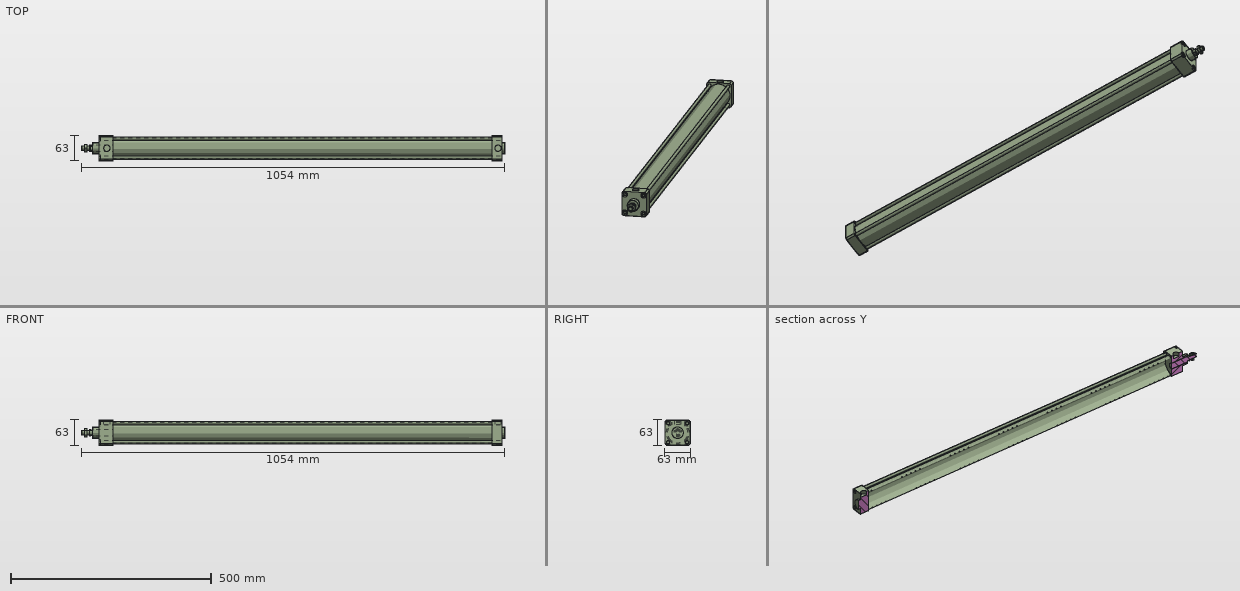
import cadquery as cq
import math

TOTAL_LENGTH = 1054.0
CAP_SIDE = 63.0
CAP_CHAMFER = 4.0
FRONT_CAP_START = 43.0
FRONT_CAP_LENGTH = 35.0
REAR_CAP_LENGTH = 25.0
BOSS_DIAMETER = 28.0
FRONT_BOSS_LENGTH = 16.0
REAR_BOSS_LENGTH = 6.0

TUBE_DIAMETER = 57.0
TUBE_BORE = 51.0

TIE_ROD_DIAMETER = 7.9
TIE_ROD_SPACING = 47.0
TIE_ROD_HEAD_DIAMETER = 14.0
TIE_ROD_HEAD_LENGTH = 4.0
SOCKET_DIAMETER = 6.7
SOCKET_DEPTH = 3.0

ROD_DIAMETER = 16.0
THREAD_DIAMETER = 12.0
THREAD_LENGTH = 20.0
THREAD_TIP_CHAMFER = 1.0
FLATS_START = 22.0
FLATS_WIDTH = 13.0

NUT_ACROSS_FLATS = 19.0
NUT_START = 7.0
NUT_THICKNESS = 6.0

PORT_DIAMETER = 16.0
PORT_DEPTH = 11.0
FRONT_PORT_OFFSET = 20.0
REAR_PORT_OFFSET = 15.0

front_cap_end = FRONT_CAP_START + FRONT_CAP_LENGTH
front_boss_start = FRONT_CAP_START - FRONT_BOSS_LENGTH
rear_cap_end = TOTAL_LENGTH - REAR_BOSS_LENGTH
rear_cap_start = rear_cap_end - REAR_CAP_LENGTH
tie_rod_reach = TIE_ROD_SPACING / 2
tie_rod_places = [
    (y, z) for y in (-tie_rod_reach, tie_rod_reach) for z in (-tie_rod_reach, tie_rod_reach)
]


def along_x(start):
    """Workplane across the cylinder axis at X = start; its local axes are Y and Z."""
    return cq.Workplane("YZ", origin=(start, 0, 0))


def round_bar(diameter, start, end, y=0, z=0):
    """Cylinder along X from start to end, centred on (y, z)."""
    return along_x(start).center(y, z).circle(diameter / 2).extrude(end - start)


def port(x):
    """Blind hole cut down from the top face of a cap."""
    top = cq.Workplane("XY", origin=(x, 0, CAP_SIDE / 2))
    return top.circle(PORT_DIAMETER / 2).extrude(-PORT_DEPTH)


def cap_block(start, end):
    """Square block with its four long edges chamfered."""
    block = along_x(start).rect(CAP_SIDE, CAP_SIDE).extrude(end - start)
    return block.edges("|X").chamfer(CAP_CHAMFER)


def tie_rod_envelope(y, z):
    """Head and shank of a tie rod without its socket; also the hole it needs in the caps."""
    head_end = FRONT_CAP_START + TIE_ROD_HEAD_LENGTH
    head = round_bar(TIE_ROD_HEAD_DIAMETER, FRONT_CAP_START, head_end, y, z)
    return head.union(round_bar(TIE_ROD_DIAMETER, head_end, rear_cap_end, y, z))


def make_tie_rod(y, z):
    socket = round_bar(SOCKET_DIAMETER, FRONT_CAP_START, FRONT_CAP_START + SOCKET_DEPTH, y, z)
    return tie_rod_envelope(y, z).cut(socket)


def cut_tie_rod_holes(cap):
    for y, z in tie_rod_places:
        cap = cap.cut(tie_rod_envelope(y, z))
    return cap


def make_piston_rod():
    """Threaded end, then a shank with two wrench flats facing up and down in front of the boss."""
    thread = round_bar(THREAD_DIAMETER, 0, THREAD_LENGTH).faces("<X").chamfer(THREAD_TIP_CHAMFER)
    shank = round_bar(ROD_DIAMETER, THREAD_LENGTH, front_cap_end)
    flats_length = front_boss_start - FLATS_START
    around_flats = along_x(FLATS_START).rect(ROD_DIAMETER, ROD_DIAMETER).extrude(flats_length)
    between_flats = along_x(FLATS_START).rect(ROD_DIAMETER, FLATS_WIDTH).extrude(flats_length)
    return thread.union(shank.cut(around_flats.cut(between_flats)))


def make_rod_nut():
    """Hexagon nut on the thread, with corners at the top and bottom."""
    corner_diameter = NUT_ACROSS_FLATS / math.cos(math.pi / 6)
    hexagon = along_x(NUT_START).transformed(rotate=(0, 0, 90)).polygon(6, corner_diameter)
    nut = hexagon.extrude(NUT_THICKNESS)
    return nut.cut(round_bar(THREAD_DIAMETER, NUT_START, NUT_START + NUT_THICKNESS))


def make_front_cap():
    cap = cap_block(FRONT_CAP_START, front_cap_end)
    cap = cap.union(round_bar(BOSS_DIAMETER, front_boss_start, FRONT_CAP_START))
    cap = cap.cut(round_bar(ROD_DIAMETER, front_boss_start, front_cap_end))
    cap = cap.cut(port(FRONT_CAP_START + FRONT_PORT_OFFSET))
    return cut_tie_rod_holes(cap)


def make_rear_cap():
    cap = cap_block(rear_cap_start, rear_cap_end)
    cap = cap.union(round_bar(BOSS_DIAMETER, rear_cap_end, TOTAL_LENGTH))
    cap = cap.cut(port(rear_cap_start + REAR_PORT_OFFSET))
    return cut_tie_rod_holes(cap)


def make_tube():
    tube = round_bar(TUBE_DIAMETER, front_cap_end, rear_cap_start)
    return tube.cut(round_bar(TUBE_BORE, front_cap_end, rear_cap_start))


front_cap = make_front_cap()
rear_cap = make_rear_cap()
tube = make_tube()
piston_rod = make_piston_rod()
rod_nut = make_rod_nut()
tie_rods = [make_tie_rod(y, z) for y, z in tie_rod_places]

result = cq.Compound.makeCompound(
    [
        front_cap.val(),
        rear_cap.val(),
        tube.val(),
        piston_rod.val(),
        rod_nut.val(),
        *[rod.val() for rod in tie_rods],
    ]
)